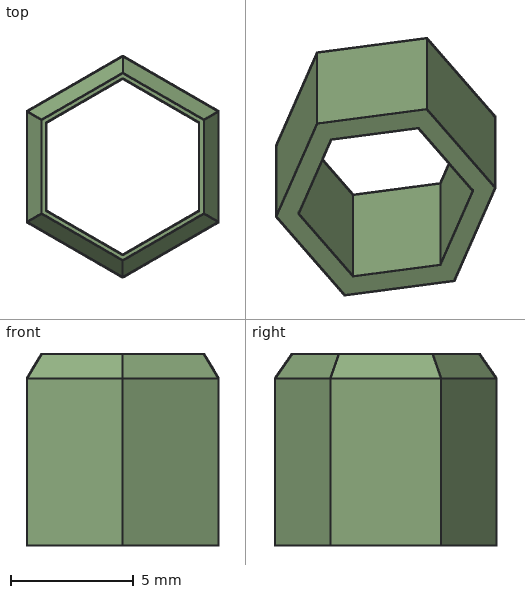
import cadquery as cq
import math

outer_flats = 7.8
bore_flats = 6.2
height = 7.8
bevel_height = 1.0
bevel_inset = 0.6

straight_height = height - bevel_height
bevel_angle = math.degrees(math.atan2(bevel_inset, bevel_height))


def hexagon(base_z, across_flats):
    """Hexagon at base_z with two flats facing +X and -X."""
    corner_diameter = across_flats / math.cos(math.pi / 6)
    return (
        cq.Workplane("XY", origin=(0, 0, base_z))
        .transformed(rotate=(0, 0, 90))
        .polygon(6, corner_diameter)
    )


def make_body():
    """Straight hexagonal sleeve topped by a tapered rim."""
    sleeve = hexagon(0, outer_flats).extrude(straight_height)
    rim = hexagon(straight_height, outer_flats).extrude(bevel_height, taper=bevel_angle)
    return sleeve.union(rim)


def make_bore():
    """Hexagonal bore running through the full height."""
    return hexagon(0, bore_flats).extrude(height)


result = make_body().cut(make_bore())